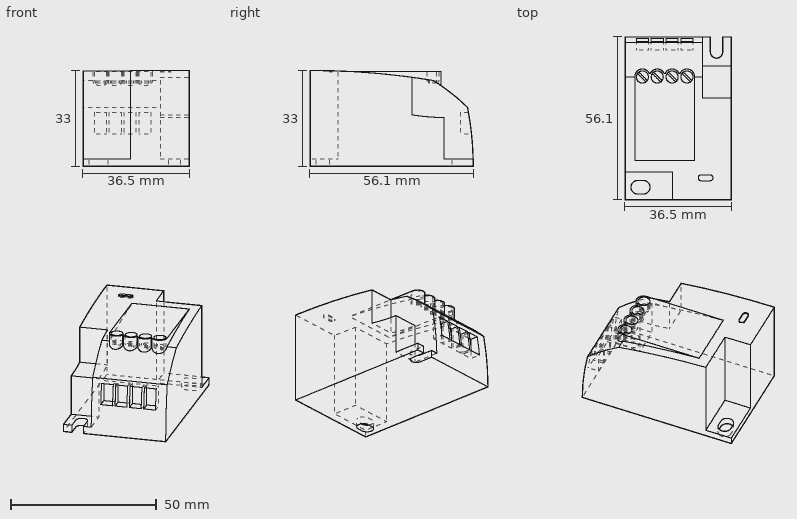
import cadquery as cq
import math

WIDTH = 36.5
LENGTH = 56.05
HEIGHT = 33.0
FLANGE_THICKNESS = 2.65

SHOULDER_Y = 42.25
SHOULDER_Z = 29.55
BACK_EDGE_Y = 54.1
BACK_EDGE_Z = 20.3
SLOPE_BULGE = 0.45

FRONT_NOTCH_WIDTH = 16.2
FRONT_NOTCH_LENGTH = 9.6
FRONT_HOLE_X = 5.25
FRONT_HOLE_Y = 4.4
FRONT_HOLE_LENGTH = 6.5
FRONT_HOLE_WIDTH = 4.6

REAR_NOTCH_X = 26.6
REAR_NOTCH_Y = 35.05
REAR_FLOOR_Y = 46.0
REAR_LEDGE_Z = 16.8
REAR_LEDGE_RISE = 0.9
REAR_SLOT_X = 31.4
REAR_SLOT_WIDTH = 4.15
REAR_SLOT_CENTER_Y = 50.85

TERMINAL_COUNT = 4
TERMINAL_PITCH = 5.1
TERMINAL_CENTER_X = 13.55
TERMINAL_FRONT_Y = 13.55
TERMINAL_TOP_Z = 32.7
COLLAR_CENTER_Y = 42.45
COLLAR_RADIUS = 2.6
WEB_BACK_Y = 43.45
SCREW_RADIUS = 2.1
SCREW_RECESS = 3.35
DRIVER_SLOT_WIDTH = 0.7
DRIVER_SLOT_DEPTH = 0.55

ENTRY_WIDTH = 4.2
ENTRY_BOTTOM_Z = 11.1
ENTRY_TOP_Z = 18.5
ENTRY_FLOOR_Y = 51.6

INDICATOR_X = 27.65
INDICATOR_Y = 7.6
INDICATOR_LENGTH = 5.05
INDICATOR_WIDTH = 2.1
INDICATOR_DEPTH = 0.55

terminal_xs = [
    TERMINAL_CENTER_X + (i - (TERMINAL_COUNT - 1) / 2) * TERMINAL_PITCH
    for i in range(TERMINAL_COUNT)
]


def box(x0, x1, y0, y1, z0, z1):
    """Box given by its limits along each axis."""
    return cq.Workplane("XY").box(x1 - x0, y1 - y0, z1 - z0, centered=False).translate((x0, y0, z0))


def slot(x, y, length, width, z0, z1):
    """Vertical obround prism, long along X."""
    return cq.Workplane("XY", origin=(x, y, z0)).slot2D(length, width).extrude(z1 - z0)


def cylinder(x, y, radius, z0, z1):
    return cq.Workplane("XY", origin=(x, y, z0)).circle(radius).extrude(z1 - z0)


def tangent_arc_middle(run, rise):
    """Rise at half the run of an arc that starts tangent to the run direction."""
    radius = (run**2 + rise**2) / (2 * rise)
    return radius - math.sqrt(radius**2 - (run / 2) ** 2)


def make_body():
    """Curved side profile swept straight across the width."""
    back_middle = (
        LENGTH - tangent_arc_middle(BACK_EDGE_Z, LENGTH - BACK_EDGE_Y),
        BACK_EDGE_Z / 2,
    )
    top_middle = (
        SHOULDER_Y / 2,
        HEIGHT - tangent_arc_middle(SHOULDER_Y, HEIGHT - SHOULDER_Z),
    )
    slope_run = BACK_EDGE_Y - SHOULDER_Y
    slope_drop = SHOULDER_Z - BACK_EDGE_Z
    slope_length = math.hypot(slope_run, slope_drop)
    slope_middle = (
        (BACK_EDGE_Y + SHOULDER_Y) / 2 + SLOPE_BULGE * slope_drop / slope_length,
        (BACK_EDGE_Z + SHOULDER_Z) / 2 + SLOPE_BULGE * slope_run / slope_length,
    )
    return (
        cq.Workplane("YZ")
        .lineTo(LENGTH, 0)
        .threePointArc(back_middle, (BACK_EDGE_Y, BACK_EDGE_Z))
        .threePointArc(slope_middle, (SHOULDER_Y, SHOULDER_Z))
        .threePointArc(top_middle, (0, HEIGHT))
        .close()
        .extrude(WIDTH)
    )


def add_terminal_block(body):
    """Flat raised block with a scalloped back edge of screw collars joined by webs."""
    left = terminal_xs[0] - COLLAR_RADIUS
    right = terminal_xs[-1] + COLLAR_RADIUS
    block = box(left, right, TERMINAL_FRONT_Y, COLLAR_CENTER_Y, BACK_EDGE_Z, TERMINAL_TOP_Z)
    for x in terminal_xs:
        block = block.union(cylinder(x, COLLAR_CENTER_Y, COLLAR_RADIUS, BACK_EDGE_Z, TERMINAL_TOP_Z))
    web = box(
        terminal_xs[0], terminal_xs[-1],
        COLLAR_CENTER_Y, WEB_BACK_Y, BACK_EDGE_Z, TERMINAL_TOP_Z,
    )
    return body.union(block.union(web))


def cut_screws(body):
    """Round recesses, each with a diagonal driver slot in its floor."""
    floor_z = TERMINAL_TOP_Z - SCREW_RECESS
    for x in terminal_xs:
        recess = cylinder(x, SHOULDER_Y, SCREW_RADIUS, floor_z, TERMINAL_TOP_Z)
        driver_slot = (
            cq.Workplane("XY", origin=(x, SHOULDER_Y, floor_z))
            .transformed(rotate=(0, 0, -45))
            .rect(2 * SCREW_RADIUS, DRIVER_SLOT_WIDTH)
            .extrude(-DRIVER_SLOT_DEPTH)
            .intersect(cylinder(x, SHOULDER_Y, SCREW_RADIUS, floor_z - DRIVER_SLOT_DEPTH, floor_z))
        )
        body = body.cut(recess).cut(driver_slot)
    return body


def cut_wire_entries(body):
    """Rectangular pockets in the back face, one behind each screw."""
    for x in terminal_xs:
        left = x - ENTRY_WIDTH / 2
        right = x + ENTRY_WIDTH / 2
        body = body.cut(box(left, right, ENTRY_FLOOR_Y, LENGTH, ENTRY_BOTTOM_Z, ENTRY_TOP_Z))
    return body


def cut_front_corner(body):
    """Notch down to the flange, with an obround mounting hole."""
    notch = box(0, FRONT_NOTCH_WIDTH, 0, FRONT_NOTCH_LENGTH, FLANGE_THICKNESS, HEIGHT)
    hole = slot(FRONT_HOLE_X, FRONT_HOLE_Y, FRONT_HOLE_LENGTH, FRONT_HOLE_WIDTH, 0, FLANGE_THICKNESS)
    return body.cut(notch).cut(hole)


def cut_rear_corner(body):
    """Notch with a slightly dished ledge, a step down to the flange and an open slot."""
    ledge_run = REAR_FLOOR_Y - REAR_NOTCH_Y
    ledge_middle = (
        REAR_FLOOR_Y - ledge_run / 2,
        REAR_LEDGE_Z + tangent_arc_middle(ledge_run, REAR_LEDGE_RISE),
    )
    notch = (
        cq.Workplane("YZ", origin=(REAR_NOTCH_X, 0, 0))
        .moveTo(LENGTH, FLANGE_THICKNESS)
        .lineTo(REAR_FLOOR_Y, FLANGE_THICKNESS)
        .lineTo(REAR_FLOOR_Y, REAR_LEDGE_Z)
        .threePointArc(ledge_middle, (REAR_NOTCH_Y, REAR_LEDGE_Z + REAR_LEDGE_RISE))
        .lineTo(REAR_NOTCH_Y, HEIGHT)
        .lineTo(LENGTH, HEIGHT)
        .close()
        .extrude(WIDTH - REAR_NOTCH_X)
    )
    half_width = REAR_SLOT_WIDTH / 2
    opening = box(
        REAR_SLOT_X - half_width, REAR_SLOT_X + half_width,
        REAR_SLOT_CENTER_Y, LENGTH, 0, FLANGE_THICKNESS,
    )
    slot_end = cylinder(REAR_SLOT_X, REAR_SLOT_CENTER_Y, half_width, 0, FLANGE_THICKNESS)
    return body.cut(notch).cut(opening).cut(slot_end)


def cut_indicator(body):
    """Shallow obround recess near the front of the top face."""
    recess = slot(
        INDICATOR_X, INDICATOR_Y, INDICATOR_LENGTH, INDICATOR_WIDTH,
        HEIGHT - INDICATOR_DEPTH, HEIGHT,
    )
    return body.cut(recess)


result = make_body()
result = add_terminal_block(result)
result = cut_screws(result)
result = cut_wire_entries(result)
result = cut_front_corner(result)
result = cut_rear_corner(result)
result = cut_indicator(result)